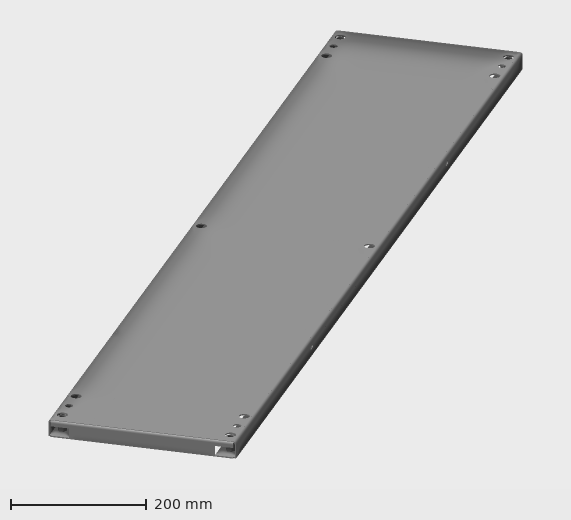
import cadquery as cq

WIDTH = 288.0
LENGTH = 1488.0
HEIGHT = 26.6
SHEET = 2.0
BEND_RADIUS = 4.5

SIDE_SETBACK = 2.0
LIP_INNER_X = 112.0
LIP_TAB_OUTER_X = 140.0

END_BEND_WIDTH = 280.0
END_FLANGE_WIDTH = 2 * LIP_INNER_X
CORNER_NOTCH_TOP = 17.0

HOLE_X = 129.0
SPACER_Y = LENGTH / 2 - 24.5
SMALL_HOLE_Y = LENGTH / 2 - 59.0
SCREW_Y = LENGTH / 2 - 95.5
ACCESS_DIAMETER = 16.0
SMALL_TOP_DIAMETER = 12.0
SMALL_LIP_DIAMETER = 6.0
SCREW_LIP_DIAMETER = 8.0

SLOT_LENGTH = 13.0
SLOT_HEIGHT = 6.0
SLOT_Y = 350.0
SLOT_Z = 14.0

SPACER_ACROSS_CORNERS = 13.5
SPACER_BORE = 10.0


def centered_block(size_x, size_y, bottom, top):
    """Block centred on the Z axis between two heights."""
    return (
        cq.Workplane("XY")
        .workplane(offset=bottom)
        .rect(size_x, size_y)
        .extrude(top - bottom)
    )


def mirrored_block(x_inner, x_outer, size_y, bottom, top):
    """Pair of blocks, mirrored about the YZ plane."""
    middle = (x_inner + x_outer) / 2
    return (
        cq.Workplane("XY")
        .workplane(offset=bottom)
        .pushPoints([(-middle, 0), (middle, 0)])
        .rect(x_outer - x_inner, size_y)
        .extrude(top - bottom)
    )


def cylinders(points, diameter, bottom, top):
    """Upright cylinder at each point."""
    return (
        cq.Workplane("XY")
        .workplane(offset=bottom)
        .pushPoints(points)
        .circle(diameter / 2)
        .extrude(top - bottom)
    )


def four_corners(y):
    return [(sx * HOLE_X, sy * y) for sx in (-1, 1) for sy in (-1, 1)]


def side_channel():
    """Top sheet with both side walls and their bottom lips."""
    run = LENGTH - 2 * SIDE_SETBACK
    outer = centered_block(WIDTH, run, 0, HEIGHT).edges(">Z and |Y").fillet(BEND_RADIUS)
    inner = (
        centered_block(WIDTH - 2 * SHEET, run, SHEET, HEIGHT - SHEET)
        .edges(">Z and |Y")
        .fillet(BEND_RADIUS - SHEET)
    )
    mouth = centered_block(2 * LIP_INNER_X, run, 0, SHEET)
    return outer.cut(inner).cut(mouth)


def end_channel():
    """Top sheet with both end flanges, notched away at the corners below the bend."""
    outer = (
        centered_block(END_BEND_WIDTH, LENGTH, 0, HEIGHT)
        .edges(">Z and |X")
        .fillet(BEND_RADIUS)
    )
    inner = (
        centered_block(END_BEND_WIDTH, LENGTH - 2 * SHEET, 0, HEIGHT - SHEET)
        .edges(">Z and |X")
        .fillet(BEND_RADIUS - SHEET)
    )
    notches = mirrored_block(END_FLANGE_WIDTH / 2, WIDTH / 2, LENGTH, 0, CORNER_NOTCH_TOP)
    return outer.cut(inner).cut(notches)


def lip_tabs():
    """Ends of the lips, level with the end flanges at the corner openings."""
    full = mirrored_block(LIP_INNER_X, LIP_TAB_OUTER_X, LENGTH, 0, SHEET)
    middle = centered_block(WIDTH, LENGTH - 2 * (SIDE_SETBACK + SHEET), 0, SHEET)
    return full.cut(middle)


def drill_pair(body, points, top_diameter, lip_diameter):
    """Cut a hole in the top sheet and a coaxial hole in the lip below it."""
    body = body.cut(cylinders(points, top_diameter, HEIGHT - SHEET, HEIGHT))
    return body.cut(cylinders(points, lip_diameter, 0, SHEET))


def side_slots():
    return (
        cq.Workplane("YZ")
        .pushPoints([(-SLOT_Y, SLOT_Z), (SLOT_Y, SLOT_Z)])
        .slot2D(SLOT_LENGTH, SLOT_HEIGHT)
        .extrude(WIDTH / 2, both=True)
    )


def make_panel():
    body = side_channel().union(end_channel()).union(lip_tabs())
    screw_points = four_corners(SCREW_Y) + [(-HOLE_X, 0), (HOLE_X, 0)]
    body = drill_pair(body, four_corners(SPACER_Y), ACCESS_DIAMETER, SPACER_BORE)
    body = drill_pair(body, four_corners(SMALL_HOLE_Y), SMALL_TOP_DIAMETER, SMALL_LIP_DIAMETER)
    body = drill_pair(body, screw_points, ACCESS_DIAMETER, SCREW_LIP_DIAMETER)
    return body.cut(side_slots())


def make_spacer(x, y):
    """Hexagonal tube standing on the lip, up to the underside of the top sheet."""
    return (
        cq.Workplane("XY", origin=(x, y, SHEET))
        .polygon(6, SPACER_ACROSS_CORNERS)
        .circle(SPACER_BORE / 2)
        .extrude(HEIGHT - 2 * SHEET)
    )


panel = make_panel().solids()
spacers = [make_spacer(x, y) for x, y in four_corners(SPACER_Y)]

result = cq.Compound.makeCompound([panel.val(), *[spacer.val() for spacer in spacers]])